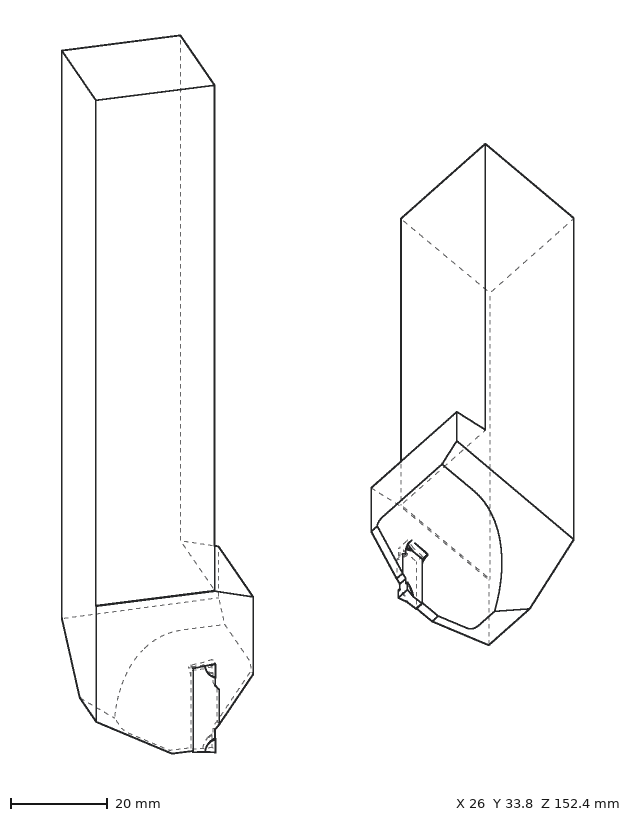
import cadquery as cq
import math

height = 152.4
head_depth = 33.8
shank_depth = 25.6
shank_right = 25.1
head_right = 25.5
left_lean = 0.2

ledge_top = 36.7
ledge_end = 34.3
bevel_start = 22.5
bevel_angle = 43.0
nose_front = 10.2
nose_tip_y = 16.3
nose_bottom = 0.8
jaw_corner_z = 16.6

blade_thickness = 1.8
blade_left = head_right - blade_thickness
relief_radius = 20.1
relief_y = 24.7
relief_top = 18.5
relief_z = relief_top - relief_radius
relief_fillet = 1.7

insert_length = 20.1
insert_mid_z = insert_length / 2
seat_y = 20.9
rake_y = shank_depth
crown_y = 26.5
crown_start = 6.1
rake_end = 5.0
end_clearance = 0.5
tip_overhang = 0.5
tip_height = 3.0
tip_depth = 2.1

overrun = 7.6


def make_side_profile():
    """Outline of the holder in the YZ plane, swept across the full width."""
    outline = [
        (0, height),
        (shank_depth, height),
        (shank_depth, ledge_top),
        (head_depth, ledge_end),
        (head_depth, jaw_corner_z),
        (crown_y, crown_start),
        (rake_y, rake_end),
        (rake_y, nose_bottom),
        (nose_tip_y, nose_bottom),
        (0, nose_front),
    ]
    return cq.Workplane("YZ").polyline(outline).close().extrude(head_right)


def make_shank_step():
    """Strip that narrows the right side of the shank above the head."""
    return cq.Workplane("XY").box(
        head_right - shank_right, head_depth, height - ledge_top, centered=False
    ).translate((shank_right, 0, ledge_top))


def make_left_lean():
    """Thin wedge that leans the left face inward towards the front."""
    wedge = [(0, 0), (left_lean, 0), (0, head_depth)]
    return cq.Workplane("XY").polyline(wedge).close().extrude(height)


def make_bevel():
    """Corner below the inclined face at the lower left."""
    slope = math.tan(math.radians(bevel_angle))
    rise = overrun * slope
    run = (bevel_start + overrun) / slope
    corner = [(-overrun, bevel_start + rise), (-overrun, -overrun), (run, -overrun)]
    return cq.Workplane("XZ").polyline(corner).close().extrude(-head_depth)


def make_blade_relief():
    """Round relief beside the blade, straight towards the back, with a filleted root."""
    back = head_depth + overrun
    front = relief_y - relief_radius
    relief = (
        cq.Workplane("YZ")
        .moveTo(back, relief_top)
        .lineTo(relief_y, relief_top)
        .radiusArc((front, relief_z), -relief_radius)
        .lineTo(front, relief_z - overrun)
        .lineTo(back, relief_z - overrun)
        .close()
        .extrude(blade_left)
    )
    root = cq.selectors.BoxSelector(
        (blade_left - relief_fillet, front - overrun, relief_z - relief_fillet),
        (blade_left + relief_fillet, back + overrun, relief_top + relief_fillet),
    )
    arc_edge = relief.faces(">X").edges(root).edges("%CIRCLE")
    straight_edge = relief.faces(">X").edges(">Z")
    return relief.newObject(arc_edge.vals() + straight_edge.vals()).fillet(relief_fillet)


def make_insert_notch():
    """Gap through the relief fillet beside the insert."""
    return cq.Workplane("XY").box(
        relief_fillet, rake_y - seat_y, relief_top, centered=False
    ).translate((blade_left - relief_fillet, seat_y, 0))


def make_insert_tip():
    """Lower cutting tip, widest at the rake face and tapering towards the front."""
    taper_y = rake_y - tip_depth
    plan = [
        (blade_left - tip_overhang, rake_y),
        (head_right + tip_overhang, rake_y),
        (head_right, taper_y),
        (blade_left, taper_y),
    ]
    tapered = cq.Workplane("XY").polyline(plan).close().extrude(tip_height)
    taper_z = end_clearance * tip_depth / (rake_y - seat_y)
    side = (
        cq.Workplane("YZ", origin=(blade_left - tip_overhang, 0, 0))
        .moveTo(rake_y, 0)
        .lineTo(rake_y, tip_height)
        .radiusArc((taper_y, taper_z), -tip_height)
        .close()
        .extrude(blade_thickness + 2 * tip_overhang)
    )
    return tapered.intersect(side)


def make_insert():
    """Insert symmetric about its middle height, with a cutting tip at each end."""
    lower_half = [
        (seat_y, insert_mid_z),
        (seat_y, end_clearance),
        (rake_y, 0),
        (rake_y, rake_end),
        (crown_y, crown_start),
        (crown_y, insert_mid_z),
    ]
    half = (
        cq.Workplane("YZ", origin=(blade_left, 0, 0))
        .polyline(lower_half)
        .close()
        .extrude(blade_thickness)
        .union(make_insert_tip())
    )
    return half.union(half.mirror("XY", (0, 0, insert_mid_z))).clean()


def make_holder(seated_insert):
    """Shank and head in one piece, with a pocket that matches the insert."""
    return (
        make_side_profile()
        .cut(make_shank_step())
        .cut(make_left_lean())
        .cut(make_bevel())
        .cut(make_blade_relief())
        .cut(make_insert_notch())
        .cut(seated_insert)
    )


insert = make_insert()
holder = make_holder(insert)
result = cq.Compound.makeCompound([holder.val(), insert.val()])